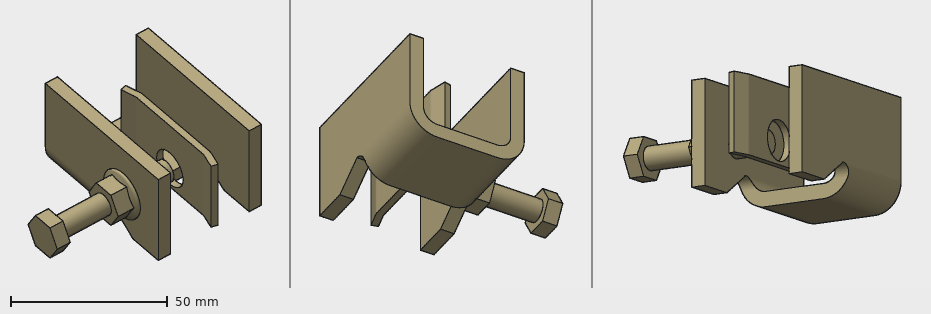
import cadquery as cq
import math

bracket_length = 58.0
bracket_width = 42.0
bracket_height = 37.37
sheet = 5.0
bend_inner_radius = 5.0
bend_outer_radius = bend_inner_radius + sheet
base_length = 30.0
wall_height = 35.0
relief_radius = 4.0
slope_end_x = 45.0
wall_bottom = bracket_height - wall_height

axis_x = 40.0
axis_z = 18.4

bolt_diameter = 8.0
bolt_length = 45.0
across_flats = 13.0
head_height = 5.3
head_face_y = -32.79

nut_height = 8.0
flange_radius = 9.0
flange_edge_radius = 0.75
flange_rim_height = 0.5
flange_cone_angle = math.radians(20)

plate_thickness = 2.5
plate_back_y = 21.5
plate_half_flat = 17.16
plate_bend_outer_radius = 3.0
plate_tip_length = 6.0
plate_bend_angle = 15.0
plate_top_gap = 0.5
plate_top = bracket_height - plate_top_gap
plate_height = 26.4
plate_hole_diameter = 13.5

across_corners = across_flats / math.cos(math.radians(30))


def axis_plane(y):
    """Sketch plane on the screw axis, its normal pointing to +Y."""
    return cq.Plane(origin=(axis_x, y, axis_z), xDir=(1, 0, 0), normal=(0, 1, 0))


def make_channel():
    """U section over the floor length, with a rounded relief notch at its end."""
    length = base_length + relief_radius
    outer = (
        cq.Workplane("YZ")
        .rect(bracket_width, 2 * bracket_height)
        .extrude(length)
        .translate((0, bracket_width / 2, bracket_height))
        .edges("|X and <Z")
        .fillet(bend_outer_radius)
    )
    inner = (
        cq.Workplane("YZ")
        .rect(bracket_width - 2 * sheet, 2 * bracket_height)
        .extrude(length)
        .translate((0, bracket_width / 2, bracket_height + sheet))
        .edges("|X and <Z")
        .fillet(bend_inner_radius)
    )
    above = (
        cq.Workplane("XY", origin=(0, 0, bracket_height))
        .box(length, bracket_width, bracket_height, centered=False)
    )
    arc_shift = relief_radius * math.sqrt(0.5)
    notch = (
        cq.Workplane("XZ")
        .moveTo(base_length, 0)
        .lineTo(base_length, bend_outer_radius - relief_radius)
        .threePointArc(
            (length - arc_shift, bend_outer_radius - relief_radius + arc_shift),
            (length, bend_outer_radius),
        )
        .lineTo(length, 0)
        .close()
        .extrude(-bracket_width)
    )
    return outer.cut(inner).cut(above).cut(notch)


def make_wall(outer_y):
    """Flat side wall above the bend, with the lower tab past the relief notch."""
    return (
        cq.Workplane("XZ", origin=(0, outer_y, 0))
        .moveTo(0, bracket_height)
        .lineTo(bracket_length, bracket_height)
        .lineTo(bracket_length, wall_bottom)
        .lineTo(slope_end_x, wall_bottom)
        .lineTo(base_length + relief_radius, bend_outer_radius)
        .lineTo(0, bend_outer_radius)
        .close()
        .extrude(-sheet)
    )


def make_bracket():
    """Channel and both side walls, with the screw hole in the front wall."""
    body = make_channel()
    for outer_y in (0, bracket_width - sheet):
        body = body.union(make_wall(outer_y))
    clearance = cq.Workplane(axis_plane(0)).circle(bolt_diameter / 2).extrude(sheet)
    return body.cut(clearance)


def make_bolt():
    """Hexagon head and plain shank pointing to +Y."""
    head = cq.Workplane(axis_plane(head_face_y)).polygon(6, across_corners).extrude(head_height)
    shank_start = head_face_y + head_height
    shank = cq.Workplane(axis_plane(shank_start)).circle(bolt_diameter / 2).extrude(bolt_length)
    return head.union(shank)


def make_nut():
    """Hexagon nut with a conical flange against the front wall."""
    hexagon = cq.Workplane(axis_plane(-nut_height)).polygon(6, across_corners).extrude(nut_height)
    rim_center = flange_radius - flange_edge_radius
    cone_start_r = rim_center + flange_edge_radius * math.sin(flange_cone_angle)
    cone_start_h = flange_rim_height + flange_edge_radius * math.cos(flange_cone_angle)
    cone_end_h = cone_start_h + cone_start_r * math.tan(flange_cone_angle)
    base_r = rim_center + math.sqrt(flange_edge_radius**2 - flange_rim_height**2)
    flange = (
        cq.Workplane("XY", origin=(axis_x, 0, axis_z))
        .lineTo(base_r, 0)
        .threePointArc((flange_radius, -flange_rim_height), (cone_start_r, -cone_start_h))
        .lineTo(0, -cone_end_h)
        .close()
        .revolve(360, (0, 0, 0), (0, 1, 0))
    )
    bore = cq.Workplane(axis_plane(-nut_height)).circle(bolt_diameter / 2).extrude(nut_height)
    return hexagon.union(flange).cut(bore)


def make_plate():
    """Flat plate with bent ends, mirrored about the screw axis, with a central hole."""
    bend = math.radians(plate_bend_angle)
    inner_radius = plate_bend_outer_radius - plate_thickness
    bend_center_y = plate_back_y - plate_bend_outer_radius

    def bend_point(radius, angle):
        return (plate_half_flat + radius * math.sin(angle), bend_center_y + radius * math.cos(angle))

    def tip_point(radius):
        x, y = bend_point(radius, bend)
        return (x + plate_tip_length * math.cos(bend), y - plate_tip_length * math.sin(bend))

    half = (
        cq.Workplane("XY", origin=(axis_x, 0, plate_top - plate_height))
        .moveTo(0, plate_back_y)
        .lineTo(plate_half_flat, plate_back_y)
        .threePointArc(
            bend_point(plate_bend_outer_radius, bend / 2),
            bend_point(plate_bend_outer_radius, bend),
        )
        .lineTo(*tip_point(plate_bend_outer_radius))
        .lineTo(*tip_point(inner_radius))
        .lineTo(*bend_point(inner_radius, bend))
        .threePointArc(bend_point(inner_radius, bend / 2), bend_point(inner_radius, 0))
        .lineTo(0, plate_back_y - plate_thickness)
        .close()
        .extrude(plate_height)
    )
    body = half.union(half.mirror("YZ", (axis_x, 0, 0)))
    hole = (
        cq.Workplane(axis_plane(plate_back_y - plate_thickness))
        .circle(plate_hole_diameter / 2)
        .extrude(plate_thickness)
    )
    return body.cut(hole)


bracket = make_bracket()
bolt = make_bolt()
nut = make_nut()
plate = make_plate()

result = cq.Compound.makeCompound([bracket.val(), bolt.val(), nut.val(), plate.val()])